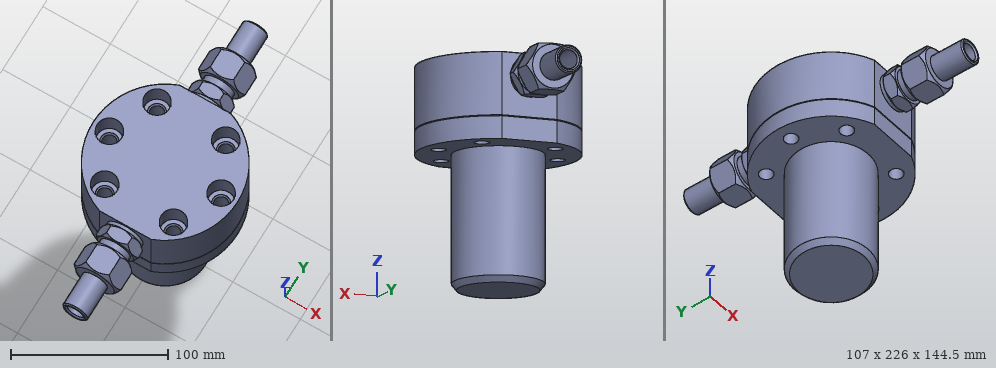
import cadquery as cq
import math

total_height = 144.5
total_length = 226.0
head_diameter = 107.0
head_width = 100.0
head_height = 41.1
groove_height = 0.7
flange_height = 14.7
bowl_diameter = 60.0
bowl_chamfer_width = 3.5
bowl_chamfer_height = 4.0

groove_top = total_height - head_height
groove_bottom = groove_top - groove_height
flange_bottom = groove_bottom - flange_height

bolt_circle_radius = 41.4
bolt_spread_angle = 52.0
bolt_angles = [side + offset for side in (0, 180) for offset in (-bolt_spread_angle, 0, bolt_spread_angle)]
counterbore_diameter = 18.0
counterbore_depth = 18.0
bolt_hole_diameter = 10.0
bolt_hole_chamfer = 1.1

fitting_length = (total_length - head_width) / 2
collar_length = 2.5
collar_diameter = 26.5
small_hex_length = 9.7
small_hex_flats = 27.1
small_hex_end_diameter = 26.7
neck_length = 5.5
neck_diameter = 22.1
nut_length = 20.0
nut_flats = 30.0
nut_end_diameter = 28.5
tube_diameter = 18.3
tube_outer_chamfer = 1.0
tube_bore_chamfer = 1.1

port_height = total_height - nut_flats / 2
bore_diameter = 12.2
passage_diameter = 12.7
passage_offset = 41.1
passage_rise = 1.0
passage_top = port_height + passage_rise


def cylinder(diameter, bottom, top):
    """Solid cylinder on the Z axis between two heights."""
    return cq.Workplane("XY").workplane(offset=bottom).circle(diameter / 2).extrude(top - bottom)


def flanged_head():
    """Round block with two flats, holding both the head and the flange."""
    height = total_height - flange_bottom
    flats = (
        cq.Workplane("XY")
        .workplane(offset=flange_bottom)
        .rect(head_diameter, head_width)
        .extrude(height)
    )
    return cylinder(head_diameter, flange_bottom, total_height).intersect(flats)


def bowl():
    """Closed cylinder below the flange, with a chamfered bottom rim."""
    body = cylinder(bowl_diameter, 0, flange_bottom)
    return body.faces("<Z").edges().chamfer(bowl_chamfer_height, bowl_chamfer_width)


def groove():
    """Ring that separates the head from the flange around a core as wide as the bowl."""
    core = cylinder(bowl_diameter, groove_bottom, groove_top)
    return cylinder(head_diameter, groove_bottom, groove_top).cut(core)


def bolt_hole(angle):
    """Counterbored through hole with a chamfer at the counterbore floor."""
    floor = total_height - counterbore_depth
    counterbore_radius = counterbore_diameter / 2
    hole_radius = bolt_hole_diameter / 2
    profile = [
        (0, flange_bottom),
        (hole_radius, flange_bottom),
        (hole_radius, floor - bolt_hole_chamfer),
        (hole_radius + bolt_hole_chamfer, floor),
        (counterbore_radius, floor),
        (counterbore_radius, total_height),
        (0, total_height),
    ]
    hole = cq.Workplane("XZ").polyline(profile).close().revolve(360, (0, 0), (0, 1))
    return hole.translate((bolt_circle_radius, 0, 0)).rotate((0, 0, 0), (0, 0, 1), angle)


def flow_path(turn):
    """Blind bore in from the flat, meeting a vertical passage that opens into the groove."""
    bore = (
        cq.Workplane("XZ", origin=(0, -passage_offset, port_height))
        .circle(bore_diameter / 2)
        .extrude(head_width / 2 - passage_offset)
    )
    passage = cylinder(passage_diameter, groove_top, passage_top).translate((0, -passage_offset, 0))
    return bore.union(passage).rotate((0, 0, 0), (0, 0, 1), turn)


def build_housing():
    """Head, flange and bowl in one piece."""
    body = flanged_head().union(bowl()).cut(groove())
    for angle in bolt_angles:
        body = body.cut(bolt_hole(angle))
    for turn in (0, 180):
        body = body.cut(flow_path(turn))
    return body


def chamfered_hex(flats, end_diameter, start, length):
    """Hexagon along Z with corners on X, its ends turned to 45 degree cones."""
    corner_diameter = flats / math.cos(math.radians(30))
    corner_chamfer = (corner_diameter - end_diameter) / 2
    prism = cq.Workplane("XY").workplane(offset=start).polygon(6, corner_diameter).extrude(length)
    envelope = cylinder(corner_diameter, start, start + length).edges("%CIRCLE").chamfer(corner_chamfer)
    return prism.intersect(envelope)


def build_fitting(turn):
    """Tube fitting modelled along Z, then laid outwards from a head flat at the port height."""
    small_hex_start = collar_length
    neck_start = small_hex_start + small_hex_length
    nut_start = neck_start + neck_length
    tube_start = nut_start + nut_length

    collar = cylinder(collar_diameter, 0, small_hex_start)
    small_hex = chamfered_hex(small_hex_flats, small_hex_end_diameter, small_hex_start, small_hex_length)
    neck = cylinder(neck_diameter, neck_start, nut_start)
    nut = chamfered_hex(nut_flats, nut_end_diameter, nut_start, nut_length)
    tube = cylinder(tube_diameter, tube_start, fitting_length)
    tube = tube.faces(">Z").edges().chamfer(tube_outer_chamfer)

    fitting = collar.union(small_hex).union(neck).union(nut).union(tube)
    fitting = fitting.cut(cylinder(bore_diameter, 0, fitting_length))
    fitting = fitting.faces(">Z").edges(cq.selectors.RadiusNthSelector(0)).chamfer(tube_bore_chamfer)
    return (
        fitting.rotate((0, 0, 0), (1, 0, 0), 90)
        .translate((0, -head_width / 2, port_height))
        .rotate((0, 0, 0), (0, 0, 1), turn)
    )


housing = build_housing()
fittings = [build_fitting(turn) for turn in (0, 180)]

result = cq.Compound.makeCompound([housing.val(), *[fitting.val() for fitting in fittings]])